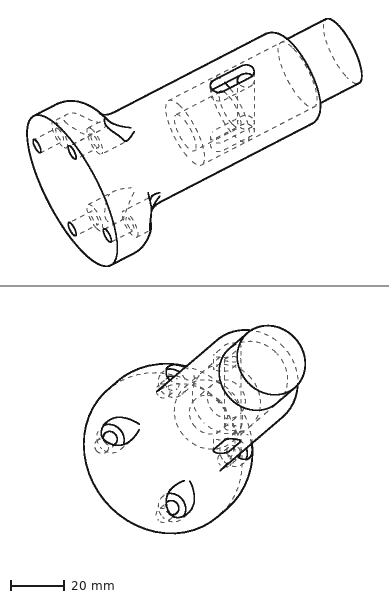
import cadquery as cq
import math

flange_radius = 31.5
flange_rim = 10.0
sleeve_radius = 19.0
housing_length = 100.0
flare_radius = 10.0
mouth_fillet = 4.0

screw_count = 4
screw_hole_diameter = 5.5
counterbore_diameter = 11.0
screw_circle_radius = sleeve_radius + counterbore_diameter / 2

overall_length = 120.0
plunger_radius = 13.5
plunger_shoulder = 70.0
tail_radius = 7.5
bore_floor = 50.0

cross_hole_diameter = 6.2
cross_hole_y = 77.0
slot_travel = 12.0

convex_center_x = flange_radius - flare_radius
concave_center_x = sleeve_radius + flare_radius
flare_tilt = math.asin((concave_center_x - convex_center_x) / (2 * flare_radius))
flare_length = 2 * flare_radius * math.cos(flare_tilt)
flare_end = flange_rim + flare_length
flare_middle = ((convex_center_x + concave_center_x) / 2, flange_rim + flare_length / 2)
arc_mid_angle = (math.pi / 2 - flare_tilt) / 2
arc_mid_dx = flare_radius * math.cos(arc_mid_angle)
arc_mid_dy = flare_radius * math.sin(arc_mid_angle)


def cylinder_along_y(radius, start, end):
    """Cylinder on the Y axis between two Y positions."""
    return cq.Workplane("XZ", origin=(0, start, 0)).circle(radius).extrude(start - end)


def make_housing_blank():
    """Revolve the flange, flare and sleeve outline about the Y axis."""
    blank = (
        cq.Workplane("XY")
        .lineTo(flange_radius, 0)
        .lineTo(flange_radius, flange_rim)
        .threePointArc((convex_center_x + arc_mid_dx, flange_rim + arc_mid_dy), flare_middle)
        .threePointArc((concave_center_x - arc_mid_dx, flare_end - arc_mid_dy), (sleeve_radius, flare_end))
        .lineTo(sleeve_radius, housing_length)
        .lineTo(0, housing_length)
        .close()
        .revolve(360, (0, 0, 0), (0, 1, 0))
    )
    return blank.faces(">Y").edges().fillet(mouth_fillet)


def make_screw_cutter():
    """Through hole and counterbore of the screw on the +X side."""
    hole = cylinder_along_y(screw_hole_diameter / 2, 0, housing_length)
    counterbore = cylinder_along_y(counterbore_diameter / 2, flange_rim, housing_length)
    return hole.union(counterbore).translate((screw_circle_radius, 0, 0))


def make_slot_cutter():
    """Slot through both sleeve walls, its outer end concentric with the cross hole."""
    return (
        cq.Workplane("XY", origin=(0, cross_hole_y - slot_travel / 2, 0))
        .slot2D(slot_travel + cross_hole_diameter, cross_hole_diameter, 90)
        .extrude(sleeve_radius, both=True)
    )


def make_housing():
    """Flanged sleeve with a blind bore, guide slot and counterbored screw holes."""
    housing = make_housing_blank()
    housing = housing.cut(cylinder_along_y(plunger_radius, bore_floor, housing_length))
    housing = housing.cut(make_slot_cutter())
    for index in range(screw_count):
        angle = index * 360 / screw_count
        housing = housing.cut(make_screw_cutter().rotate((0, 0, 0), (0, 1, 0), angle))
    return housing


def make_plunger():
    """Rod with a slimmer tail resting on the bore floor and a cross hole along Z."""
    rod = cylinder_along_y(plunger_radius, plunger_shoulder, overall_length)
    tail = cylinder_along_y(tail_radius, bore_floor, plunger_shoulder)
    cross_hole = (
        cq.Workplane("XY", origin=(0, cross_hole_y, 0))
        .circle(cross_hole_diameter / 2)
        .extrude(plunger_radius, both=True)
    )
    return rod.union(tail).cut(cross_hole)


housing = make_housing()
plunger = make_plunger()

result = cq.Compound.makeCompound([housing.val(), plunger.val()])